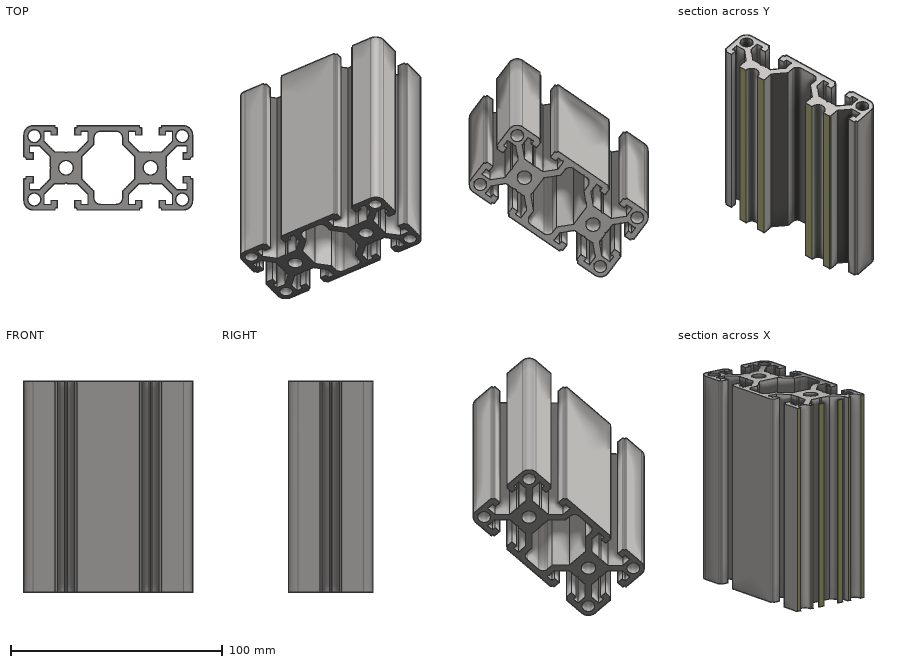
import cadquery as cq

MODULE = 40.0
WIDTH = 2 * MODULE
DEPTH = MODULE
LENGTH = 100.0
CORNER_RADIUS = 4.5

SLOT_HALF_OPENING = 4.05
STEP_HALF_OPENING = 5.1
STEP_DEPTH = 1.0
STEP_RADIUS = 0.25
LIP_HALF_GAP = 7.2
LIP_DEPTH = 4.55
CAVITY_HALF_WIDTH = 10.35
SKIN = 2.75

CORE_HALF_WIDTH = 7.55
WEB_HALF_OFFSET = 2.2

GROOVE_HALF_WIDTH = 0.7
GROOVE_DEPTH = 0.4

HOLLOW_HALF_WIDTH = 6.75
HOLLOW_RADIUS = 3.0

CORE_BORE = 6.8
CORNER_BORE = 6.0
CORNER_BORE_INSET = 5.0

HALF_MODULE = MODULE / 2
CORE_X = HALF_MODULE


def outer_block():
    block = cq.Workplane("XY").rect(WIDTH, DEPTH).extrude(LENGTH)
    return block.edges("|Z").fillet(CORNER_RADIUS)


def t_slot():
    """Cutter for a slot that opens towards +Y, with its module centred on the origin."""
    face = HALF_MODULE
    step_floor = face - STEP_DEPTH
    lip_end = face - LIP_DEPTH
    skin_inside = face - SKIN
    r = STEP_RADIUS
    half_outline = (
        cq.Workplane("XY")
        .moveTo(0, face)
        .lineTo(STEP_HALF_OPENING + r, face)
        .radiusArc((STEP_HALF_OPENING, face - r), -r)
        .lineTo(STEP_HALF_OPENING, step_floor + r)
        .radiusArc((STEP_HALF_OPENING - r, step_floor), r)
        .lineTo(SLOT_HALF_OPENING + r, step_floor)
        .radiusArc((SLOT_HALF_OPENING, step_floor - r), -r)
        .lineTo(SLOT_HALF_OPENING, lip_end)
        .lineTo(LIP_HALF_GAP, lip_end)
        .lineTo(LIP_HALF_GAP, skin_inside)
        .lineTo(CAVITY_HALF_WIDTH, skin_inside)
        .lineTo(CAVITY_HALF_WIDTH, CAVITY_HALF_WIDTH + WEB_HALF_OFFSET)
        .lineTo(CORE_HALF_WIDTH - WEB_HALF_OFFSET, CORE_HALF_WIDTH)
        .lineTo(GROOVE_HALF_WIDTH, CORE_HALF_WIDTH)
        .lineTo(0, CORE_HALF_WIDTH - GROOVE_DEPTH)
    )
    return half_outline.mirrorY().extrude(LENGTH)


def placed_slot(module_x, turn):
    """T-slot of the module at module_x, turned about the module's axis by turn degrees."""
    return t_slot().rotate((0, 0, 0), (0, 0, 1), turn).translate((module_x, 0, 0))


def hollow():
    """Cutter for the chamber between the cores, widest at mid-depth and rounded at the skins."""
    core_side = CORE_X - CORE_HALF_WIDTH
    top = HALF_MODULE - SKIN
    web_start = CORE_HALF_WIDTH - WEB_HALF_OFFSET
    web_end = CORE_X - HOLLOW_HALF_WIDTH - WEB_HALF_OFFSET
    quarter_outline = [
        (core_side, web_start),
        (HOLLOW_HALF_WIDTH, web_end),
        (HOLLOW_HALF_WIDTH, top),
    ]
    upper_half = quarter_outline + [(-x, y) for x, y in reversed(quarter_outline)]
    lower_half = [(-x, -y) for x, y in upper_half]
    chamber = cq.Workplane("XY").polyline(upper_half + lower_half).close().extrude(LENGTH)
    skin_corners = chamber.faces(">Y or <Y").edges("|Z")
    return skin_corners.fillet(HOLLOW_RADIUS)


def bores(diameter, centres):
    return cq.Workplane("XY").pushPoints(centres).circle(diameter / 2).extrude(LENGTH)


core_centres = [(-CORE_X, 0), (CORE_X, 0)]
corner_x = WIDTH / 2 - CORNER_BORE_INSET
corner_y = DEPTH / 2 - CORNER_BORE_INSET
corner_centres = [(x, y) for x in (-corner_x, corner_x) for y in (-corner_y, corner_y)]

result = outer_block()
for core_x, outward_turn in ((-CORE_X, 90), (CORE_X, -90)):
    for slot_turn in (0, 180, outward_turn):
        result = result.cut(placed_slot(core_x, slot_turn))
result = result.cut(hollow())
result = result.cut(bores(CORE_BORE, core_centres))
result = result.cut(bores(CORNER_BORE, corner_centres))